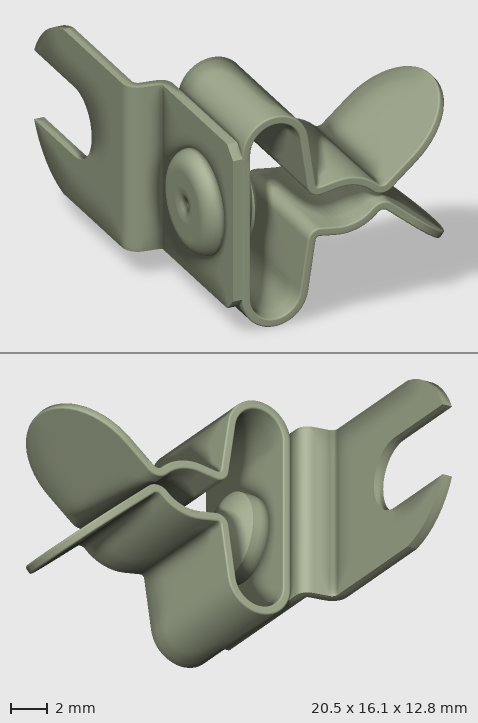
import cadquery as cq
import math


terminal_thickness = 0.6
terminal_width = 10.0
pad_reach = 4.02
pad_chamfer = 0.72
pad_bend_start = 4.51
joggle_angle = 82.0
pad_bend_inner_radius = 0.15
fork_bend_inner_radius = 0.35
web_length = 0.96
fork_tip_x = -16.5
fork_nose_radius = 5.1
slot_width = 4.2
slot_end_center_x = -11.55

clip_thickness = 0.5
clip_width = 8.0
clip_edge_radius = 0.1
base_length = 8.76
lobe_outer_radius = 2.01
arm_tilt = 8.5
arm_length = 3.04
heel_inner_radius = 0.2
seat_slope = 9.0
seat_length = 1.03
bump_outer_radius = 2.98
throat_slope = 44.0
throat_inner_radius = 0.4
tab_slope = 40.0
tab_length = 5.95

shank_diameter = 5.0
tail_length = 1.0
dome_height = 0.9
head_diameter = 6.0
head_height = 1.0
dimple_diameter = 2.01
dimple_depth = 0.5


def strip_outline(plane, start, heading, moves, thickness):
    """Side outline of a bent strip, traced along its centre line.

    A move is ("straight", length) or ("bend", inner radius, turn in degrees),
    with left turns positive.
    """
    half = thickness / 2
    x, y = start
    angle = math.radians(heading)

    def side_point(center_x, center_y, direction, offset):
        return (
            center_x - offset * math.sin(direction),
            center_y + offset * math.cos(direction),
        )

    left_start = side_point(x, y, angle, half)
    right_start = side_point(x, y, angle, -half)
    right_edges = []
    left_edges = []
    for kind, size, *turn in moves:
        if kind == "straight":
            x += size * math.cos(angle)
            y += size * math.sin(angle)
            left_mid = right_mid = None
        else:
            sweep = math.radians(turn[0])
            radius = math.copysign(size + half, sweep)
            pivot_x, pivot_y = side_point(x, y, angle, radius)
            middle = angle + sweep / 2
            left_mid = side_point(pivot_x, pivot_y, middle, half - radius)
            right_mid = side_point(pivot_x, pivot_y, middle, -half - radius)
            angle += sweep
            x, y = side_point(pivot_x, pivot_y, angle, -radius)
        left_edges.append((left_mid, side_point(x, y, angle, half)))
        right_edges.append((right_mid, side_point(x, y, angle, -half)))

    outline = cq.Workplane(plane).moveTo(*right_start)
    for mid, end in right_edges:
        outline = outline.lineTo(*end) if mid is None else outline.threePointArc(mid, end)
    outline = outline.lineTo(*left_edges[-1][1])
    left_ends = [left_start] + [end for _, end in left_edges[:-1]]
    for (mid, _), end in zip(reversed(left_edges), reversed(left_ends)):
        outline = outline.lineTo(*end) if mid is None else outline.threePointArc(mid, end)
    return outline.close(), (x, y)


def y_cylinder(diameter, y_start, y_end):
    """Cylinder on the rivet axis."""
    face = cq.Workplane("XZ", origin=(0, y_start, 0))
    return face.circle(diameter / 2).extrude(y_start - y_end)


def make_terminal():
    fork_run = -fork_tip_x
    moves = [
        ("straight", pad_reach + pad_bend_start),
        ("bend", pad_bend_inner_radius, joggle_angle),
        ("straight", web_length),
        ("bend", fork_bend_inner_radius, -joggle_angle),
        ("straight", fork_run),
    ]
    start = (pad_reach, -terminal_thickness / 2)
    outline, _ = strip_outline("XY", start, 180, moves, terminal_thickness)
    strip = outline.extrude(terminal_width / 2, both=True)

    blank = fork_blank()
    bore = y_cylinder(shank_diameter, -terminal_thickness, 0)
    return strip.intersect(blank).cut(bore)


def fork_blank():
    """Flat shape of the terminal along Y: nose arc, slot and end chamfers."""
    half_width = terminal_width / 2
    half_slot = slot_width / 2
    depth = 2 * terminal_width
    nose_center_x = fork_tip_x + math.sqrt(fork_nose_radius**2 - half_slot**2)

    def nose_x(z):
        return nose_center_x - math.sqrt(fork_nose_radius**2 - z**2)

    mid_z = (half_width + half_slot) / 2
    shape = (
        cq.Workplane("XZ")
        .moveTo(nose_x(half_slot), half_slot)
        .threePointArc((nose_x(mid_z), mid_z), (nose_x(half_width), half_width))
        .lineTo(pad_reach - pad_chamfer, half_width)
        .lineTo(pad_reach, half_width - pad_chamfer)
        .lineTo(pad_reach, pad_chamfer - half_width)
        .lineTo(pad_reach - pad_chamfer, -half_width)
        .lineTo(nose_x(half_width), -half_width)
        .threePointArc((nose_x(mid_z), -mid_z), (nose_x(half_slot), -half_slot))
        .lineTo(slot_end_center_x, -half_slot)
        .threePointArc((slot_end_center_x + half_slot, 0), (slot_end_center_x, half_slot))
        .close()
    )
    return shape.extrude(depth / 2, both=True)


def make_clip():
    lobe_inner_radius = lobe_outer_radius - clip_thickness
    bump_inner_radius = bump_outer_radius - clip_thickness
    moves = [
        ("straight", base_length / 2),
        ("bend", lobe_inner_radius, arm_tilt - 180),
        ("straight", arm_length),
        ("bend", heel_inner_radius, 90 - arm_tilt + seat_slope),
        ("straight", seat_length),
        ("bend", bump_inner_radius, -seat_slope - throat_slope),
        ("bend", throat_inner_radius, throat_slope + tab_slope),
        ("straight", tab_length),
    ]
    outline, (tip_y, tip_z) = strip_outline("YZ", (clip_thickness / 2, 0), 90, moves, clip_thickness)
    upper = outline.extrude(clip_width / 2, both=True).intersect(round_end_blank(tip_y, tip_z))
    lower = upper.mirror("XY")
    clip = upper.union(lower, clean=True)
    clip = clip.faces("<X or >X").edges().fillet(clip_edge_radius)
    return clip.cut(y_cylinder(shank_diameter, 0, clip_thickness))


def round_end_blank(tip_y, tip_z):
    """Envelope, square to the tab, that gives it a full-round end."""
    radius = clip_width / 2
    length = 4 * clip_width
    slope = math.radians(tab_slope)
    plane = cq.Plane(
        origin=(0, tip_y, tip_z),
        xDir=(1, 0, 0),
        normal=(0, -math.sin(slope), math.cos(slope)),
    )
    return (
        cq.Workplane(plane)
        .moveTo(-radius, -length)
        .lineTo(radius, -length)
        .lineTo(radius, -radius)
        .threePointArc((0, 0), (-radius, -radius))
        .close()
        .extrude(length, both=True)
    )


def make_rivet():
    """Revolved profile: domed tail, full-round head with a horn-shaped dimple."""
    shank_radius = shank_diameter / 2
    seat_y = -terminal_thickness
    front_y = seat_y - head_height
    rim_radius = head_diameter / 2
    land_radius = rim_radius - head_height
    tail_y = clip_thickness + tail_length
    dome_radius = (shank_radius**2 + dome_height**2) / (2 * dome_height)
    dome_center_y = tail_y + dome_height - dome_radius
    dome_mid_y = dome_center_y + math.sqrt(dome_radius**2 - (shank_radius / 2) ** 2)
    round_mid = head_height * math.sqrt(0.5)
    dimple_radius = dimple_diameter / 2
    horn_radius = (dimple_radius**2 + dimple_depth**2) / (2 * dimple_depth)
    horn_mid_sweep = math.asin(dimple_radius / horn_radius) / 2
    horn_mid = (
        dimple_radius - horn_radius * math.sin(horn_mid_sweep),
        front_y + horn_radius * (1 - math.cos(horn_mid_sweep)),
    )
    profile = (
        cq.Workplane("XY")
        .moveTo(0, front_y + dimple_depth)
        .threePointArc(horn_mid, (dimple_radius, front_y))
        .lineTo(land_radius, front_y)
        .threePointArc((land_radius + round_mid, seat_y - round_mid), (rim_radius, seat_y))
        .lineTo(shank_radius, seat_y)
        .lineTo(shank_radius, tail_y)
        .threePointArc((shank_radius / 2, dome_mid_y), (0, tail_y + dome_height))
        .close()
    )
    return profile.revolve(360, (0, 0, 0), (0, 1, 0))


terminal = make_terminal()
clip = make_clip()
rivet = make_rivet()

result = cq.Compound.makeCompound([terminal.val(), clip.val(), rivet.val()])